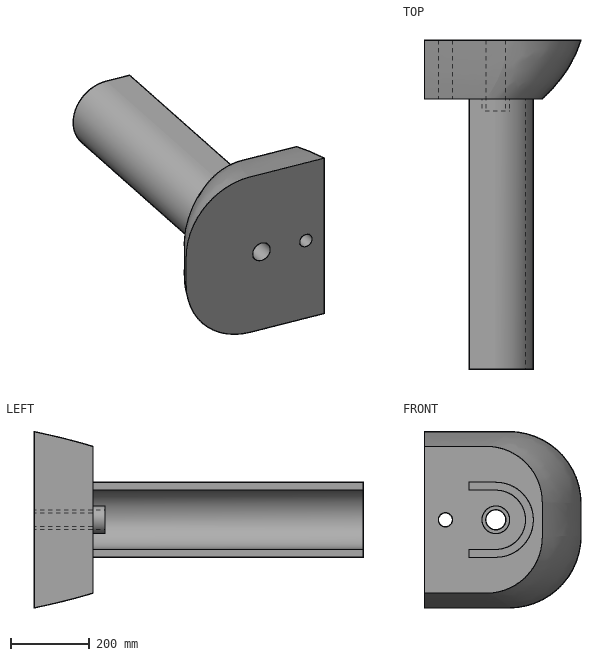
import cadquery as cq

overall_length = 840.0
basin_depth = 150.0
mid_depth = 81.0

wide_width, wide_half_height, wide_radius = 400.0, 225.0, 184.0
mid_width, mid_half_height, mid_radius = 361.0, 207.0, 165.0
narrow_width, narrow_half_height, narrow_radius = 301.0, 187.0, 143.0

drain_x = 182.0
drain_bore = 50.0
spout_diameter = 70.5
spout_length = 30.0
tap_hole_x = 54.0
tap_hole_diameter = 35.0

pedestal_radius = 96.0
pedestal_wall = 20.0
pedestal_open_x = 114.0
pedestal_length = overall_length - basin_depth


def plane_at_depth(depth):
    """XZ plane facing -Y, the given distance below the wide face."""
    return cq.Workplane("XZ", origin=(0, -depth, 0))


def basin_section(depth, width, half_height, radius):
    """Rectangle with its two +X corners rounded, as a wire."""
    straight_x = width - radius
    straight_z = half_height - radius
    diagonal = radius * 0.5 ** 0.5
    arc_x = straight_x + diagonal
    arc_z = straight_z + diagonal
    return (
        plane_at_depth(depth)
        .moveTo(0, -half_height)
        .lineTo(straight_x, -half_height)
        .threePointArc((arc_x, -arc_z), (width, -straight_z))
        .lineTo(width, straight_z)
        .threePointArc((arc_x, arc_z), (straight_x, half_height))
        .lineTo(0, half_height)
        .close()
        .val()
    )


def cylinder(x, diameter, start_depth, length):
    """Round bar along Y at z = 0, growing toward -Y."""
    return plane_at_depth(start_depth).center(x, 0).circle(diameter / 2).extrude(length)


def make_basin():
    """Tapered basin block with drain spout, drain bore and tap hole."""
    sections = [
        basin_section(0, wide_width, wide_half_height, wide_radius),
        basin_section(mid_depth, mid_width, mid_half_height, mid_radius),
        basin_section(basin_depth, narrow_width, narrow_half_height, narrow_radius),
    ]
    block = cq.Workplane(cq.Solid.makeLoft(sections))
    spout = cylinder(drain_x, spout_diameter, basin_depth, spout_length)
    bore = cylinder(drain_x, drain_bore, 0, basin_depth + spout_length)
    tap_hole = cylinder(tap_hole_x, tap_hole_diameter, 0, basin_depth)
    return block.union(spout).cut(bore).cut(tap_hole)


def u_prism(radius):
    """Solid U-shaped bar, flat at the open side and round at +X."""
    return (
        plane_at_depth(basin_depth)
        .moveTo(pedestal_open_x, -radius)
        .lineTo(drain_x, -radius)
        .threePointArc((drain_x + radius, 0), (drain_x, radius))
        .lineTo(pedestal_open_x, radius)
        .close()
        .extrude(pedestal_length)
    )


def make_pedestal():
    """U channel of even wall, standing against the narrow face of the basin."""
    return u_prism(pedestal_radius).cut(u_prism(pedestal_radius - pedestal_wall))


basin = make_basin()
pedestal = make_pedestal()
result = cq.Compound.makeCompound([basin.solids().val(), pedestal.solids().val()])